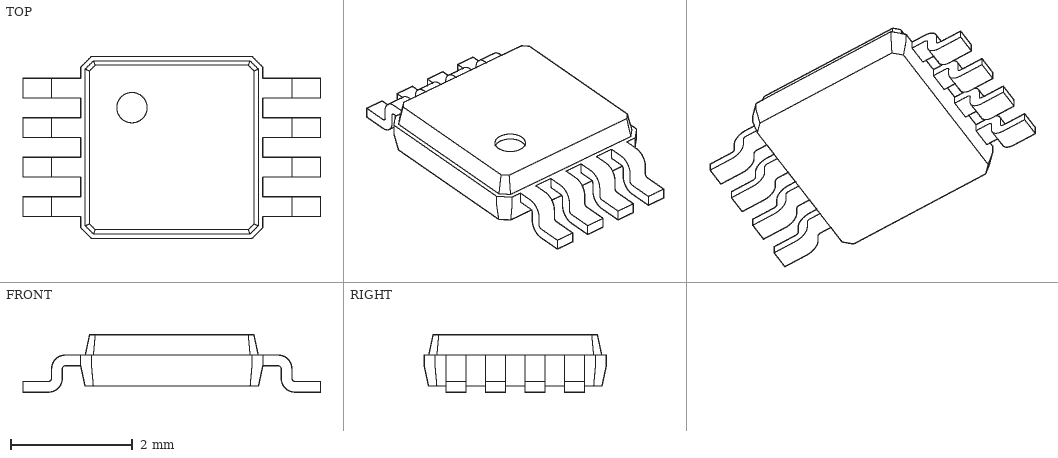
import cadquery as cq
import math

LEAD_SPAN = 4.9
BODY_SIZE = 3.0
TOTAL_HEIGHT = 0.95
STANDOFF = 0.1

LEADS_PER_SIDE = 4
LEAD_PITCH = 0.65
LEAD_WIDTH = 0.33
LEAD_THICKNESS = 0.18
FOOT_FLAT = 0.42
INNER_BEND = 0.05
OUTER_BEND = INNER_BEND + LEAD_THICKNESS
LEAD_EMBED = 0.3

BELT_CHAMFER = 0.18
TOP_STEP = 0.075
DRAFT_ANGLE = 12
DRAFT_HEIGHT = (TOTAL_HEIGHT - STANDOFF - LEAD_THICKNESS) / 2
DRAFT_INSET = DRAFT_HEIGHT * math.tan(math.radians(DRAFT_ANGLE))
BELT_BOTTOM = STANDOFF + DRAFT_HEIGHT
BELT_TOP = BELT_BOTTOM + LEAD_THICKNESS

MARK_DIAMETER = 0.5
MARK_DEPTH = 0.1
MARK_OFFSET = 0.655


def body_outline(inset):
    """Corner points of the belt outline moved inward by the same distance on all eight sides."""
    half = BODY_SIZE / 2 - inset
    chamfer = BELT_CHAMFER - inset * (2 - math.sqrt(2))
    flat = half - chamfer
    return [
        (half, -flat), (half, flat), (flat, half), (-flat, half),
        (-half, flat), (-half, -flat), (-flat, -half), (flat, -half),
    ]


def body_layer(z_bottom, inset_bottom, z_top, inset_top):
    """Slice of the body between two heights, with straight sloping sides."""
    return (
        cq.Workplane("XY", origin=(0, 0, z_bottom))
        .polyline(body_outline(inset_bottom)).close()
        .workplane(offset=z_top - z_bottom)
        .polyline(body_outline(inset_top)).close()
        .loft(ruled=True)
    )


def make_body():
    lower = body_layer(STANDOFF, DRAFT_INSET, BELT_BOTTOM, 0)
    belt = body_layer(BELT_BOTTOM, 0, BELT_TOP, 0)
    upper = body_layer(BELT_TOP, TOP_STEP, TOTAL_HEIGHT, TOP_STEP + DRAFT_INSET)
    return lower.union(belt).union(upper)


def make_lead():
    """Gull-wing lead on the +X side, centred on Y = 0."""
    toe = LEAD_SPAN / 2
    root = BODY_SIZE / 2 - LEAD_EMBED
    foot_end = toe - FOOT_FLAT
    leg_outer = foot_end - INNER_BEND
    leg_inner = leg_outer - LEAD_THICKNESS
    shoulder_end = leg_outer - OUTER_BEND
    profile = (
        cq.Workplane("XZ", origin=(0, LEAD_WIDTH / 2, 0))
        .moveTo(toe, 0)
        .lineTo(toe, LEAD_THICKNESS)
        .lineTo(foot_end, LEAD_THICKNESS)
        .radiusArc((leg_outer, OUTER_BEND), INNER_BEND)
        .lineTo(leg_outer, BELT_TOP - OUTER_BEND)
        .radiusArc((shoulder_end, BELT_TOP), -OUTER_BEND)
        .lineTo(root, BELT_TOP)
        .lineTo(root, BELT_BOTTOM)
        .lineTo(shoulder_end, BELT_BOTTOM)
        .radiusArc((leg_inner, BELT_TOP - OUTER_BEND), INNER_BEND)
        .lineTo(leg_inner, OUTER_BEND)
        .radiusArc((foot_end, 0), -OUTER_BEND)
        .close()
    )
    return profile.extrude(LEAD_WIDTH)


def make_pin_mark():
    return (
        cq.Workplane("XY", origin=(-MARK_OFFSET, MARK_OFFSET, TOTAL_HEIGHT - MARK_DEPTH))
        .circle(MARK_DIAMETER / 2)
        .extrude(MARK_DEPTH)
    )


result = make_body()
right_lead = make_lead()
left_lead = right_lead.mirror("YZ")
for index in range(LEADS_PER_SIDE):
    lead_y = (index - (LEADS_PER_SIDE - 1) / 2) * LEAD_PITCH
    for lead in (right_lead, left_lead):
        result = result.union(lead.translate((0, lead_y, 0)))
result = result.cut(make_pin_mark())